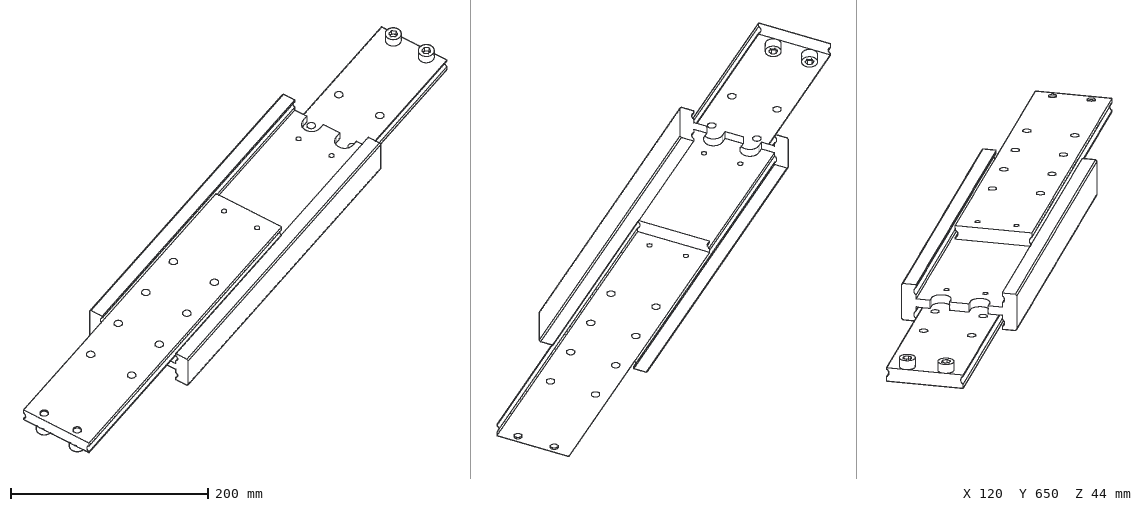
import cadquery as cq
TOTAL_LENGTH = 650.0
TOTAL_HEIGHT = 44.0
MEMBER_LENGTH = 350.0
SLIDER_SHIFT = (TOTAL_LENGTH - MEMBER_LENGTH) / 2

RAIL_WIDTH = 120.0
RAIL_HEIGHT = 40.0
RAIL_INNER_WIDTH = 90.0
WEB_THICKNESS = 9.0
RAIL_CHAMFER = 1.6
NOTCH_WIDTH = 20.0
NOTCH_DEPTH = 16.0
RAIL_PIN_HOLE_INSET = 30.0

SLIDER_WIDTH = 80.0
SLIDER_THICKNESS = 15.0
SLIDER_TOP = TOTAL_HEIGHT / 2
SLIDER_BOTTOM = SLIDER_TOP - SLIDER_THICKNESS
SLIDER_PIN_HOLE_INSET = 15.0

RACE_DIAMETER = 10.0
RACE_CENTRE_X = 42.0
RACE_CENTRE_Z = 13.0

PIN_HOLE_SPACING = 40.0
PIN_HOLE_DIAMETER = 5.0
MOUNTING_HOLE_SPACING_X = 50.0
MOUNTING_HOLE_PITCH = 50.0
MOUNTING_HOLE_ROWS = 4
MOUNTING_HOLE_DIAMETER = 8.5

SCREW_SPACING = 40.0
SCREW_HEAD_DIAMETER = 16.0
SCREW_HEAD_HEIGHT = 10.0
SCREW_INSET = SCREW_HEAD_DIAMETER / 2
SOCKET_ACROSS_FLATS = 8.0
SOCKET_DEPTH = 5.0
SOCKET_CONE_DEPTH = 2.0
SCREW_RECESS_DIAMETER = 8.5
SCREW_RECESS_DEPTH = 2.0


def ball_races():
    """Round cutters along Y beside the upper slider, shared by rail and slider."""
    return (
        cq.Workplane("XZ")
        .pushPoints([(-RACE_CENTRE_X, RACE_CENTRE_Z), (RACE_CENTRE_X, RACE_CENTRE_Z)])
        .circle(RACE_DIAMETER / 2)
        .extrude(MEMBER_LENGTH / 2, both=True)
    )


def hole_pair(y, spacing, diameter):
    """Two through-hole cutters spaced symmetrically about X = 0."""
    return (
        cq.Workplane("XY")
        .pushPoints([(-spacing / 2, y), (spacing / 2, y)])
        .circle(diameter / 2)
        .extrude(TOTAL_HEIGHT, both=True)
    )


def end_notches():
    """Round-bottomed notch cutters at the +Y end of the rail web."""
    rail_end = MEMBER_LENGTH / 2
    return (
        cq.Workplane("XY")
        .pushPoints([(-SCREW_SPACING / 2, rail_end), (SCREW_SPACING / 2, rail_end)])
        .slot2D(2 * NOTCH_DEPTH, NOTCH_WIDTH, 90)
        .extrude(WEB_THICKNESS, both=True)
    )


def make_rail():
    body = cq.Workplane("XY").box(RAIL_WIDTH, MEMBER_LENGTH, RAIL_HEIGHT)
    body = body.edges("|Y").chamfer(RAIL_CHAMFER)

    channel_depth = (RAIL_HEIGHT - WEB_THICKNESS) / 2
    channel_centre = (RAIL_HEIGHT + WEB_THICKNESS) / 4
    channel = (
        cq.Workplane("XY")
        .box(RAIL_INNER_WIDTH, MEMBER_LENGTH, channel_depth)
        .translate((0, 0, channel_centre))
    )
    channel = channel.union(ball_races())
    body = body.cut(channel).cut(channel.mirror("XY"))

    pin_hole_y = MEMBER_LENGTH / 2 - RAIL_PIN_HOLE_INSET
    end_cuts = end_notches().union(hole_pair(pin_hole_y, PIN_HOLE_SPACING, PIN_HOLE_DIAMETER))
    return body.cut(end_cuts).cut(end_cuts.mirror("XZ"))


def add_stop_screw(slider, x, y):
    """Screw head hanging below the slider, its hex socket, and the recess over its tip."""
    head_bottom = SLIDER_BOTTOM - SCREW_HEAD_HEIGHT
    head = (
        cq.Workplane("XY", origin=(x, y, head_bottom))
        .circle(SCREW_HEAD_DIAMETER / 2)
        .extrude(SCREW_HEAD_HEIGHT)
    )
    socket = (
        cq.Workplane("XY", origin=(x, y, head_bottom))
        .polygon(6, SOCKET_ACROSS_FLATS, circumscribed=True)
        .extrude(SOCKET_DEPTH)
    )
    socket_floor = cq.Vector(x, y, head_bottom + SOCKET_DEPTH)
    drill_point = cq.Solid.makeCone(SOCKET_ACROSS_FLATS / 2, 0, SOCKET_CONE_DEPTH, pnt=socket_floor)
    recess = (
        cq.Workplane("XY", origin=(x, y, SLIDER_TOP))
        .circle(SCREW_RECESS_DIAMETER / 2)
        .extrude(-SCREW_RECESS_DEPTH)
    )
    return slider.union(head).cut(socket).cut(cq.Workplane(drill_point)).cut(recess)


def make_slider():
    """Upper slider, pushed out toward -Y, with its two stop screws."""
    body = (
        cq.Workplane("XY", origin=(0, 0, SLIDER_BOTTOM))
        .rect(SLIDER_WIDTH, MEMBER_LENGTH)
        .extrude(SLIDER_THICKNESS)
    )
    body = body.cut(ball_races())

    for row in range(MOUNTING_HOLE_ROWS):
        row_y = (row - (MOUNTING_HOLE_ROWS - 1) / 2) * MOUNTING_HOLE_PITCH
        body = body.cut(hole_pair(row_y, MOUNTING_HOLE_SPACING_X, MOUNTING_HOLE_DIAMETER))
    pin_hole_y = MEMBER_LENGTH / 2 - SLIDER_PIN_HOLE_INSET
    body = body.cut(hole_pair(pin_hole_y, PIN_HOLE_SPACING, PIN_HOLE_DIAMETER))

    screw_y = SCREW_INSET - MEMBER_LENGTH / 2
    for screw_x in (-SCREW_SPACING / 2, SCREW_SPACING / 2):
        body = add_stop_screw(body, screw_x, screw_y)
    return body.translate((0, -SLIDER_SHIFT, 0))


rail = make_rail()
sliders = [make_slider().rotate((0, 0, 0), (1, 0, 0), turn) for turn in (0, 180)]

result = cq.Compound.makeCompound([rail.val(), *(slider.val() for slider in sliders)])